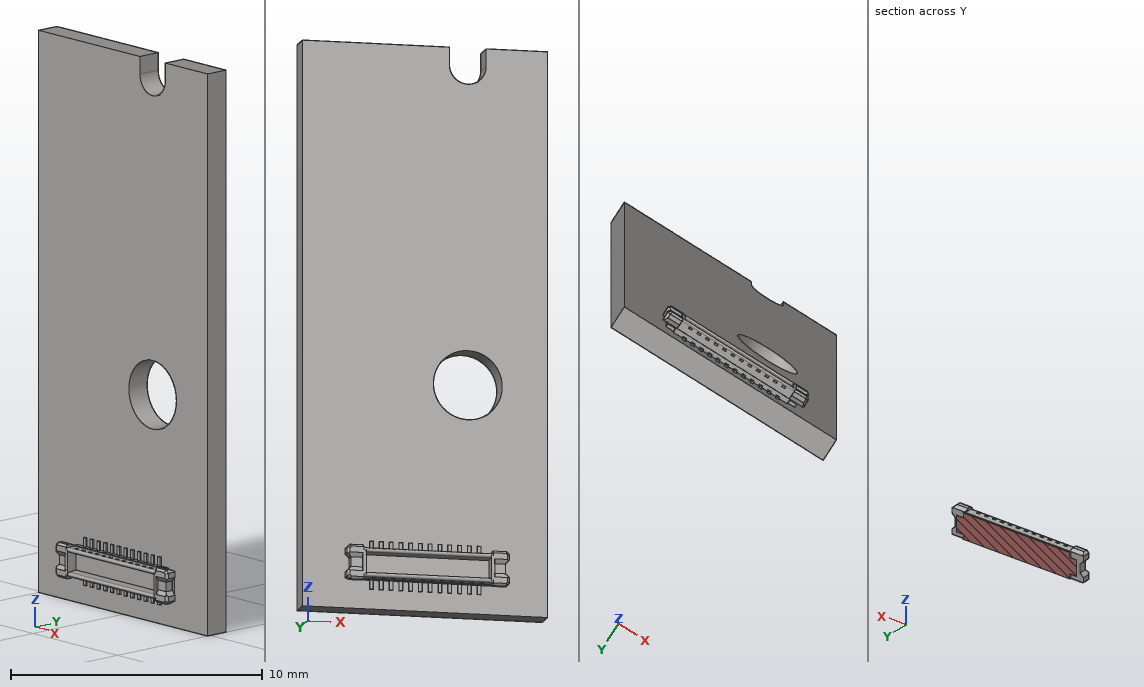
import cadquery as cq

BOARD_WIDTH = 10.0
BOARD_HEIGHT = 23.0
BOARD_THICKNESS = 1.0
OPENING_X = 1.75
HOLE_DIAMETER = 2.8
HOLE_Z = 9.3
SLOT_WIDTH = 1.5
SLOT_DEPTH = 1.47

CONNECTOR_Z = 1.77
TOTAL_DEPTH = 1.65
CONNECTOR_HEIGHT = TOTAL_DEPTH - BOARD_THICKNESS

HOUSING_LENGTH = 5.38
BASE_WIDTH = 1.22
BASE_HEIGHT = 0.2
WALLS_WIDTH = 1.17
RECESS_LENGTH = 5.1
RECESS_WIDTH = 0.75
WALL_DRAFT = 0.035

CAP_INNER_LENGTH = 5.3
CAP_OUTER_LENGTH = 6.62
CAP_WIDTH = 1.4
CAP_CORNER_CHAMFER = 0.12
CAP_EDGE_CHAMFER = 0.1
CAP_UNDERSIDE_SLOPE = 0.18
END_NOTCH_DEPTH = 0.15
NOTCH_MOUTH = 0.74
NOTCH_FLOOR = 0.4
SADDLE_DEPTH = 0.12

FOOT_OUTER_LENGTH = 6.07
FOOT_WIDTH = 0.75
FOOT_THICKNESS = 0.14
PIN_ROW_SPAN = 1.95
PIN_WIDTH = 0.15
PIN_THICKNESS = 0.07
PIN_COUNT = 12
PIN_ROW_LENGTH = 4.4
PIN_PITCH = PIN_ROW_LENGTH / (PIN_COUNT - 1)
TIP_ROW_SPAN = 1.2
TIP_BOTTOM = 0.45
TIP_TOP = 0.53
TIP_EMBEDMENT = 0.07


def block(length, width, bottom, top):
    """Box centred on the connector, between two heights above the board face."""
    return (
        cq.Workplane("XY")
        .box(length, top - bottom, width)
        .translate((0, -(bottom + top) / 2, CONNECTOR_Z))
    )


def make_board():
    """Plate with a round hole and a round-bottomed slot open at its top edge."""
    plate = cq.Workplane("XY").box(
        BOARD_WIDTH, BOARD_THICKNESS, BOARD_HEIGHT, centered=(True, False, False)
    )
    hole = (
        cq.Workplane("XZ")
        .center(OPENING_X, HOLE_Z)
        .circle(HOLE_DIAMETER / 2)
        .extrude(-BOARD_THICKNESS)
    )
    radius = SLOT_WIDTH / 2
    shoulder_z = BOARD_HEIGHT - SLOT_DEPTH + radius
    slot = (
        cq.Workplane("XZ")
        .moveTo(OPENING_X - radius, BOARD_HEIGHT)
        .lineTo(OPENING_X - radius, shoulder_z)
        .threePointArc((OPENING_X, shoulder_z - radius), (OPENING_X + radius, shoulder_z))
        .lineTo(OPENING_X + radius, BOARD_HEIGHT)
        .close()
        .extrude(-BOARD_THICKNESS)
    )
    return plate.cut(hole).cut(slot)


def make_long_wall(side):
    """Long wall with a leaning inner face and a rounded top (side = 1 or -1 in Z)."""
    floor_edge = RECESS_WIDTH / 2
    inner = floor_edge + WALL_DRAFT
    outer = WALLS_WIDTH / 2
    shoulder_y = -CONNECTOR_HEIGHT + (outer - inner) / 2
    return (
        cq.Workplane("YZ", origin=(-HOUSING_LENGTH / 2, 0, CONNECTOR_Z))
        .moveTo(-BASE_HEIGHT, side * floor_edge)
        .lineTo(shoulder_y, side * inner)
        .threePointArc(
            (-CONNECTOR_HEIGHT, side * (inner + outer) / 2),
            (shoulder_y, side * outer),
        )
        .lineTo(-BASE_HEIGHT, side * outer)
        .close()
        .extrude(HOUSING_LENGTH)
    )


def make_housing():
    """Tray: base plate, two end walls and two long walls around an open recess."""
    base = block(HOUSING_LENGTH, BASE_WIDTH, 0, BASE_HEIGHT)
    crest_spacing = RECESS_WIDTH / 2 + WALL_DRAFT + WALLS_WIDTH / 2
    end_walls = block(HOUSING_LENGTH, crest_spacing, BASE_HEIGHT, CONNECTOR_HEIGHT)
    recess = block(RECESS_LENGTH, crest_spacing, BASE_HEIGHT, CONNECTOR_HEIGHT)
    housing = base.union(end_walls.cut(recess))
    return housing.union(make_long_wall(1)).union(make_long_wall(-1))


def notch_outline(workplane, mouth, floor):
    """Symmetric tapered notch outline, from its open mouth to its narrower floor."""
    return workplane.polyline([
        (mouth, -NOTCH_MOUTH / 2),
        (mouth, NOTCH_MOUTH / 2),
        (floor, NOTCH_FLOOR / 2),
        (floor, -NOTCH_FLOOR / 2),
    ]).close()


def underside_wedge(side):
    """Wedge that slopes the lower edge of the cap on one side (side = 1 or -1 in Z)."""
    edge_z = side * CAP_WIDTH / 2
    return (
        cq.Workplane("YZ", origin=(0, 0, CONNECTOR_Z))
        .polyline([
            (-BASE_HEIGHT, edge_z),
            (-BASE_HEIGHT, edge_z - side * CAP_EDGE_CHAMFER),
            (-BASE_HEIGHT - CAP_UNDERSIDE_SLOPE, edge_z),
        ])
        .close()
        .extrude(CAP_OUTER_LENGTH / 2)
    )


def make_end_cap():
    """Cap at the +X end: chamfered block, notched in its outer face and along its top."""
    inner_x = CAP_INNER_LENGTH / 2
    outer_x = CAP_OUTER_LENGTH / 2
    cap = (
        block(outer_x - inner_x, CAP_WIDTH, BASE_HEIGHT, CONNECTOR_HEIGHT)
        .translate(((inner_x + outer_x) / 2, 0, 0))
        .edges("|Y and >X").chamfer(CAP_CORNER_CHAMFER)
        .faces("<Y").edges("not <X").chamfer(CAP_EDGE_CHAMFER)
        .cut(underside_wedge(1)).cut(underside_wedge(-1))
    )
    end_notch = notch_outline(
        cq.Workplane("XZ", origin=(0, 0, CONNECTOR_Z)), outer_x, outer_x - END_NOTCH_DEPTH
    ).extrude(CONNECTOR_HEIGHT)
    saddle = notch_outline(
        cq.Workplane("YZ", origin=(inner_x, 0, CONNECTOR_Z)),
        -CONNECTOR_HEIGHT,
        -CONNECTOR_HEIGHT + SADDLE_DEPTH,
    ).extrude(outer_x - inner_x)
    return cap.cut(end_notch).cut(saddle)


def make_contact():
    """One pin reaching out below both long walls, with a tip just proud of each wall."""
    pin = block(PIN_WIDTH, PIN_ROW_SPAN, 0, PIN_THICKNESS)
    tip_gap = block(PIN_WIDTH, WALLS_WIDTH - 2 * TIP_EMBEDMENT, TIP_BOTTOM, TIP_TOP)
    tips = block(PIN_WIDTH, TIP_ROW_SPAN, TIP_BOTTOM, TIP_TOP).cut(tip_gap)
    return pin.union(tips)


def make_connector():
    """Housing, both end caps, the feet and the row of contacts as one solid."""
    cap = make_end_cap()
    feet = block(FOOT_OUTER_LENGTH, FOOT_WIDTH, 0, FOOT_THICKNESS)
    connector = make_housing().union(feet).union(cap).union(cap.mirror("YZ"))
    contact = make_contact()
    for index in range(PIN_COUNT):
        pin_x = index * PIN_PITCH - PIN_ROW_LENGTH / 2
        connector = connector.union(contact.translate((pin_x, 0, 0)))
    return connector


board = make_board()
connector = make_connector()
result = cq.Compound.makeCompound([board.solids().val(), connector.solids().val()])